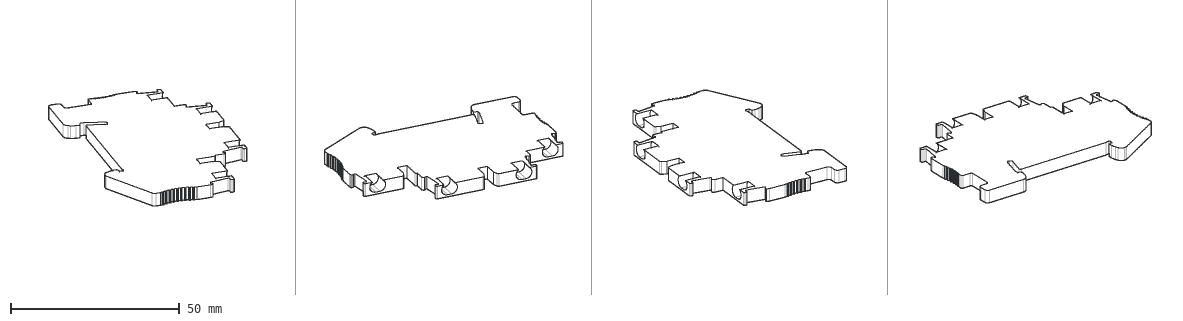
import cadquery as cq
import math

length = 67.6
height = 45.8
thickness = 4.2

lower_level = 35.2
upper_level = height
lower_left_tip = 1.15
lower_right_tip = 66.45
upper_left_tip = 14.75
upper_right_tip = 47.9
lip_height = 1.2
lip_overhang = 1.5
lip_radius = 0.35
lip_slant = 0.15
neck_foot_inset = 0.55
neck_depth = 7.5
neck_radius = 0.3
shoulder_depth = 7.15
crest_inset = -0.5
crest_depth = 7.0
groove_start = 0.15

lead_in_width = 0.2
lead_in_height = 0.9

tier_left = 13.45
tier_right = 49.1
tier_shoulder_radius = 0.8

notch_width = 3.1
notch_depth = 6.0
notch_mouth_depth = 1.9
notch_mouth_spread = 0.7
notch_mouth_radius = 0.55
upper_notch_left = 28.3
lower_notch_left = 49.7
notch_step_radius = 0.35

grip_y = 17.2
grip_radius = 14.9
left_grip_depth = 0.75
right_grip_depth = 1.15
left_ridge_height = 0.3
right_ridge_height = 0.4
left_ridge_rows = range(-2, 4)
right_ridge_rows = range(-4, 5)
ridge_pitch = 1.2
ridge_base_width = 0.55
ridge_tip_width = 0.3

foot_left = 0.35
foot_notch_x = 3.9
foot_notch_bottom = 4.05
foot_notch_top = 12.65
foot_notch_top_radius = 0.55
foot_radius = 1.0
grip_corner_radius = 0.35
toe_x = 16.3
toe_y = 4.45
toe_side_x = 16.1
toe_side_y = 2.4
toe_side_radius = 4.7
toe_bottom_x = 14.95
toe_bottom_radius = 1.8

slot_angle = math.radians(15.5)
slot_half_width = 0.8
slot_end_x = 17.5
slot_end_y = 11.9
slot_mouth_x = 15.1
slot_mouth_y = 4.95
slot_corner_radius = 0.5

rail_y = 6.0
rail_end_x = 48.3
hook_relief_x = 49.75
hook_relief_top = 6.35
hook_relief_bottom = 4.95
hook_relief_radius = 0.35
hook_tip_x = 48.5
hook_tip_y = 4.65
hook_side_x = 48.55
hook_side_y = 2.7
hook_side_radius = 4.7
hook_bottom_x = 49.55
hook_bottom_radius = 1.7
ramp_start_x = 51.4
ramp_angle = math.radians(30)
ramp_start_radius = 0.7
ramp_end_radius = 1.2

pocket_inset = 4.4
pocket_length = 5.1
pocket_radius = 1.9
pocket_half_opening = 1.75
pocket_half_floor = 0.7


def terminal(tip_x, top_y, inward):
    """Corners of one terminal head, from the shoulder up to the lip; inward is +1 or -1 along X."""
    corners = [
        (crest_inset, crest_depth, 0),
        (groove_start, neck_depth, 0),
        (neck_foot_inset, neck_depth, neck_radius),
        (lip_overhang, lip_height, neck_radius),
        (0, lip_height, lip_radius),
        (lip_slant, 0, lip_radius),
    ]
    return [(tip_x + inward * inset, top_y - depth, radius) for inset, depth, radius in corners]


def notch_right_side(left_x, top_y):
    """Corners of a plug notch from its floor up the flared right wall."""
    right_x = left_x + notch_width
    return [
        (right_x, top_y - notch_depth, 0),
        (right_x, top_y - notch_mouth_depth, 0),
        (right_x + notch_mouth_spread, top_y, notch_mouth_radius),
    ]


def rounded_outline(corners):
    """Closed outline through (x, y, radius) corners; each nonzero radius becomes a tangent arc."""
    spans = []
    for index, (x, y, radius) in enumerate(corners):
        corner = cq.Vector(x, y)
        before = (cq.Vector(*corners[index - 1][:2]) - corner).normalized()
        after = (cq.Vector(*corners[(index + 1) % len(corners)][:2]) - corner).normalized()
        if radius == 0:
            spans.append((corner,))
            continue
        half_angle = before.getAngle(after) / 2
        setback = radius / math.tan(half_angle)
        to_arc_middle = radius / math.sin(half_angle) - radius
        bisector = (before + after).normalized()
        arc = (corner + before * setback, corner + bisector * to_arc_middle, corner + after * setback)
        spans.append(arc)
    outline = cq.Workplane("XY").moveTo(*spans[0][-1].toTuple()[:2])
    for span in spans[1:] + spans[:1]:
        outline = outline.lineTo(*span[0].toTuple()[:2])
        if len(span) > 1:
            outline = outline.threePointArc(span[1].toTuple()[:2], span[2].toTuple()[:2])
    return outline.close()


def plate_corners():
    """Outline corners, clockwise from the lower end of the left grip."""
    left_side = [
        (foot_left, foot_notch_top, grip_corner_radius),
        (foot_left, grip_y, 0),
        (0, grip_y, 0),
        (0, lower_level - shoulder_depth - lead_in_height, 0),
        (lead_in_width, lower_level - shoulder_depth, 0),
        *terminal(lower_left_tip, lower_level, 1),
        (tier_left, lower_level, 0),
        (tier_left, upper_level - shoulder_depth, tier_shoulder_radius),
        *terminal(upper_left_tip, upper_level, 1),
    ]
    upper_notch = [
        (upper_notch_left - notch_mouth_spread, upper_level, notch_mouth_radius),
        (upper_notch_left, upper_level - notch_mouth_depth, 0),
        (upper_notch_left, upper_level - notch_depth, 0),
        *notch_right_side(upper_notch_left, upper_level),
    ]
    right_side = [
        *reversed(terminal(upper_right_tip, upper_level, -1)),
        (tier_right, upper_level - shoulder_depth, tier_shoulder_radius),
        (tier_right, lower_level, 0),
        (lower_notch_left, lower_level, notch_step_radius),
        (lower_notch_left, lower_level - notch_depth, 0),
        *notch_right_side(lower_notch_left, lower_level),
        *reversed(terminal(lower_right_tip, lower_level, -1)),
        (length - lead_in_width, lower_level - shoulder_depth, 0),
        (length, lower_level - shoulder_depth - lead_in_height, 0),
    ]
    ramp_rise = (length - ramp_start_x) * math.tan(ramp_angle)
    hook = [
        (length, ramp_rise, ramp_end_radius),
        (ramp_start_x, 0, ramp_start_radius),
        (hook_bottom_x, 0, hook_bottom_radius),
        (hook_side_x, hook_side_y, hook_side_radius),
        (hook_tip_x, hook_tip_y, 0),
        (hook_relief_x, hook_relief_bottom, 0),
        (hook_relief_x, hook_relief_top, hook_relief_radius),
        (rail_end_x, rail_y, 0),
    ]
    return left_side + upper_notch + right_side + hook + slot_corners() + foot_corners()


def slot_corners():
    """Spring slot from the rail edge, around its round end, down to its mouth."""
    lean = math.tan(slot_angle)
    across_x = slot_half_width * math.cos(slot_angle)
    across_y = slot_half_width * math.sin(slot_angle)
    right_wall_x = slot_end_x + slot_half_width / math.cos(slot_angle)
    left_wall_x = slot_end_x - slot_half_width / math.cos(slot_angle)
    end_radius = 0.98 * slot_half_width
    mouth_top = slot_end_y - (left_wall_x - slot_mouth_x) / lean
    return [
        (right_wall_x - (slot_end_y - rail_y) * lean, rail_y, slot_corner_radius),
        (slot_end_x + across_y + across_x, slot_end_y + across_x - across_y, end_radius),
        (slot_end_x + across_y - across_x, slot_end_y + across_x + across_y, end_radius),
        (slot_mouth_x, mouth_top, 0),
        (slot_mouth_x, slot_mouth_y, 0),
    ]


def foot_corners():
    """Left foot from the toe around to the square notch above it."""
    return [
        (toe_x, toe_y, 0),
        (toe_side_x, toe_side_y, toe_side_radius),
        (toe_bottom_x, 0, toe_bottom_radius),
        (foot_left, 0, foot_radius),
        (foot_left, foot_notch_bottom, foot_radius),
        (foot_notch_x, foot_notch_bottom, foot_radius),
        (foot_notch_x, foot_notch_top, foot_notch_top_radius),
    ]


def grip_cutter(deepest_x, inward, ridge_height, ridge_rows):
    """Cylinder that hollows a grip, with tapered bars left out so that ridges remain."""
    center_x = deepest_x - inward * grip_radius
    cutter = cq.Workplane("XY").center(center_x, grip_y).circle(grip_radius).extrude(thickness)
    half_tip = ridge_tip_width / 2
    half_foot = ridge_base_width - half_tip
    for row in ridge_rows:
        rise = row * ridge_pitch
        surface_x = center_x + inward * math.sqrt(grip_radius**2 - rise**2)
        tip_x = surface_x - inward * ridge_height
        foot_x = surface_x + inward * ridge_height
        ridge_y = grip_y + rise
        ridge = cq.Workplane("XY").polyline([
            (tip_x, ridge_y - half_tip),
            (tip_x, ridge_y + half_tip),
            (foot_x, ridge_y + half_foot),
            (foot_x, ridge_y - half_foot),
        ]).close().extrude(thickness)
        cutter = cutter.cut(ridge)
    return cutter


def pocket_cutter(center_x, top_y):
    """Channel running down from a top edge; the round sides meet the flat floor tangentially."""
    opening_from_axis = pocket_half_opening - pocket_half_floor
    axis_z = thickness - math.sqrt(pocket_radius**2 - opening_from_axis**2)
    floor_z = axis_z - pocket_radius
    half_bulge = pocket_half_floor + pocket_radius
    return (
        cq.Workplane("XZ", origin=(center_x, top_y, 0))
        .moveTo(-pocket_half_floor, floor_z)
        .lineTo(pocket_half_floor, floor_z)
        .threePointArc((half_bulge, axis_z), (pocket_half_opening, thickness))
        .lineTo(-pocket_half_opening, thickness)
        .threePointArc((-half_bulge, axis_z), (-pocket_half_floor, floor_z))
        .close()
        .extrude(pocket_length)
    )


result = rounded_outline(plate_corners()).extrude(thickness)

result = result.cut(grip_cutter(left_grip_depth, 1, left_ridge_height, left_ridge_rows))
result = result.cut(grip_cutter(length - right_grip_depth, -1, right_ridge_height, right_ridge_rows))

for pocket_x, pocket_top in (
    (lower_left_tip + pocket_inset, lower_level),
    (upper_left_tip + pocket_inset, upper_level),
    (upper_right_tip - pocket_inset, upper_level),
    (lower_right_tip - pocket_inset, lower_level),
):
    result = result.cut(pocket_cutter(pocket_x, pocket_top))